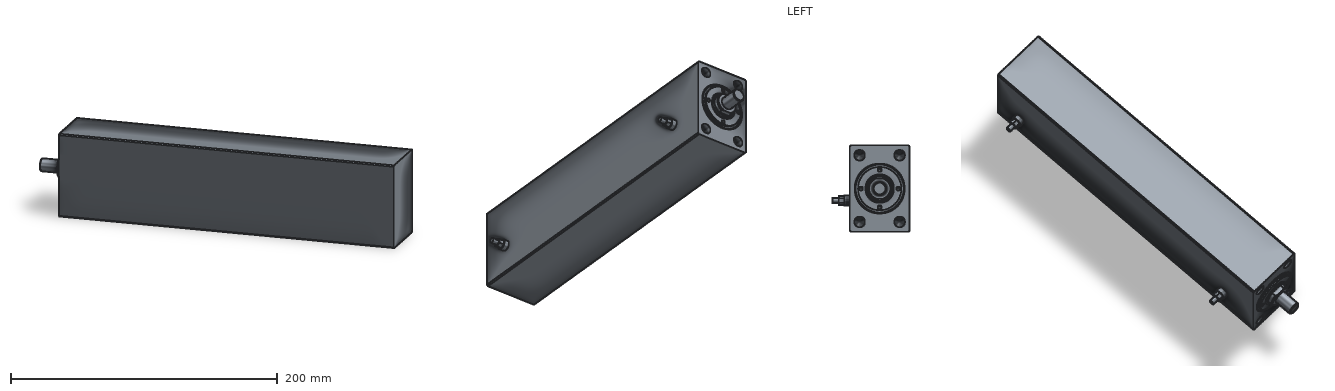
import cadquery as cq
import math


housing_length = 264.0
housing_width = 45.0
housing_height = 65.0
edge_chamfer = 1.0
bolt_spacing_y = 30.0
bolt_spacing_z = 50.0
bolt_hole_diameter = 8.0
bolt_hole_depth = 16.0
drill_point_angle = 118.0

gland_diameter = 36.0
gland_depth = 20.0
gland_bore_chamfer = 0.8
raised_face_diameter = 32.5
raised_face_height = 1.5
spanner_hole_count = 4
spanner_hole_diameter = 3.0
spanner_hole_circle = 28.0
spanner_hole_depth = 4.0

rod_diameter = 18.0
rod_shoulder_reach = 2.2
wrench_diameter = 17.5
wrench_across_flats = 15.0
wrench_reach = 6.3
wrench_chamfer = 0.8
stud_diameter = 10.0
stud_reach = 21.0
stud_chamfer = 0.6

wiper_diameter = 21.5
wiper_depth = 5.0
wiper_dish_depth = 1.5
wiper_lip_diameter = 19.5

fitting_positions_x = (30.8, 240.5)
fitting_z = -9.0
fitting_base_diameter = 8.0
fitting_base_height = 4.0
fitting_hex_across_flats = 6.0
fitting_hex_height = 4.0
fitting_tip_diameter = 4.0
fitting_tip_height = 5.0


def cylinder_x(diameter, start_x, end_x):
    """Cylinder on the rod axis between two X positions."""
    return cq.Workplane("YZ", origin=(start_x, 0, 0)).circle(diameter / 2).extrude(end_x - start_x)


def cone_x(start_diameter, end_diameter, start_x, end_x):
    """Solid cone on the rod axis, pointed if its end diameter is zero."""
    cone = cq.Solid.makeCone(
        start_diameter / 2,
        end_diameter / 2,
        end_x - start_x,
        pnt=cq.Vector(start_x, 0, 0),
        dir=cq.Vector(1, 0, 0),
    )
    return cq.Workplane(cone)


def drilled_hole_x(diameter, start_x, depth):
    """Blind drilled hole on the rod axis with a conical bottom."""
    radius = diameter / 2
    point_length = radius / math.tan(math.radians(drill_point_angle / 2))
    bottom_x = start_x + depth
    point = cone_x(diameter, 0, bottom_x, bottom_x + point_length)
    return cylinder_x(diameter, start_x, bottom_x).union(point)


def make_housing():
    block = cq.Workplane("XY").box(housing_length, housing_width, housing_height)
    block = block.translate((housing_length / 2, 0, 0))
    block = block.edges("|X").chamfer(edge_chamfer)
    bore_mouth = gland_diameter + 2 * gland_bore_chamfer
    block = block.cut(cylinder_x(gland_diameter, 0, gland_depth))
    block = block.cut(cone_x(bore_mouth, gland_diameter, 0, gland_bore_chamfer))
    bolt_hole = drilled_hole_x(bolt_hole_diameter, 0, bolt_hole_depth)
    for side_y in (-1, 1):
        for side_z in (-1, 1):
            place = (0, side_y * bolt_spacing_y / 2, side_z * bolt_spacing_z / 2)
            block = block.cut(bolt_hole.translate(place))
    return block


def make_gland():
    gland = cylinder_x(gland_diameter, 0, gland_depth)
    gland = gland.union(cylinder_x(raised_face_diameter, -raised_face_height, 0))
    gland = gland.cut(cylinder_x(rod_diameter, -raised_face_height, gland_depth))
    gland = gland.cut(cylinder_x(wiper_diameter, -raised_face_height, wiper_depth - raised_face_height))
    spanner_hole = drilled_hole_x(spanner_hole_diameter, -raised_face_height, spanner_hole_depth)
    spanner_hole = spanner_hole.translate((0, 0, spanner_hole_circle / 2))
    for index in range(spanner_hole_count):
        angle = index * 360 / spanner_hole_count
        gland = gland.cut(spanner_hole.rotate((0, 0, 0), (1, 0, 0), angle))
    return gland


def make_wiper():
    front_x = -raised_face_height
    back_x = front_x + wiper_depth
    wiper = cylinder_x(wiper_diameter, front_x, back_x)
    dish = cone_x(wiper_diameter, wiper_lip_diameter, front_x, front_x + wiper_dish_depth)
    return wiper.cut(dish).cut(cylinder_x(rod_diameter, front_x, back_x))


def make_rod():
    wrench_length = wrench_reach - rod_shoulder_reach
    wrench_section = cylinder_x(wrench_diameter, -wrench_reach, -rod_shoulder_reach)
    wrench_section = wrench_section.faces("<X").chamfer(wrench_chamfer)
    flats = cq.Workplane("XY").box(wrench_length, wrench_diameter, wrench_across_flats)
    flats = flats.translate((-(wrench_reach + rod_shoulder_reach) / 2, 0, 0))
    rod = cylinder_x(rod_diameter, -rod_shoulder_reach, gland_depth)
    rod = rod.union(wrench_section.intersect(flats))
    stud = cylinder_x(stud_diameter, -stud_reach, -wrench_reach).faces("<X").chamfer(stud_chamfer)
    return rod.union(stud)


def make_fitting(position_x):
    """Round base, hexagon with corners towards +Z and -Z, and round tip, stacked along +Y."""
    base_y = housing_width / 2
    hex_y = base_y + fitting_base_height
    tip_y = hex_y + fitting_hex_height
    hex_across_corners = fitting_hex_across_flats / math.cos(math.pi / 6)

    def plane_at(y):
        return cq.Workplane(cq.Plane((position_x, y, fitting_z), xDir=(0, 0, 1), normal=(0, 1, 0)))

    fitting = plane_at(base_y).circle(fitting_base_diameter / 2).extrude(fitting_base_height)
    fitting = fitting.union(plane_at(hex_y).polygon(6, hex_across_corners).extrude(fitting_hex_height))
    return fitting.union(plane_at(tip_y).circle(fitting_tip_diameter / 2).extrude(fitting_tip_height))


housing = make_housing()
gland = make_gland()
wiper = make_wiper()
rod = make_rod()
fittings = [make_fitting(position_x) for position_x in fitting_positions_x]

result = cq.Compound.makeCompound(
    [housing.val(), gland.val(), wiper.val(), rod.val(), *[fitting.val() for fitting in fittings]]
)